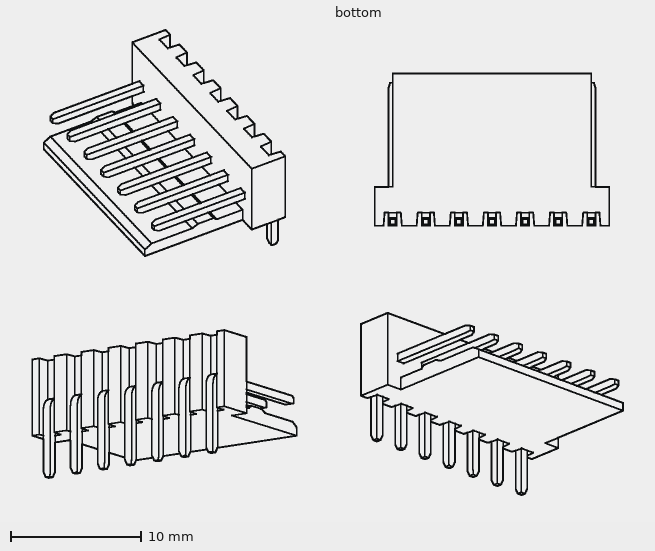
import cadquery as cq


PIN_COUNT = 7
PITCH = 2.55
ROW_LENGTH = (PIN_COUNT - 1) * PITCH

WALL_LENGTH = 18.03
WALL_DEPTH = 3.0
WALL_HEIGHT = 6.0

SLOT_DEPTH = 1.01
SLOT_FLOOR_WIDTH = 1.23
SLOT_MOUTH_WIDTH = 1.39

PLATE_LENGTH = ROW_LENGTH
PLATE_REACH = 8.7
PLATE_THICKNESS = 1.01
PLATE_BEVEL_RUN = 0.6
PLATE_BEVEL_DROP = 0.36

RIDGE_TOP_Z = 1.25
RIDGE_BACK_FOOT = 2.3
RIDGE_BACK_CREST = 2.6
RIDGE_FRONT_CREST = 3.98
RIDGE_FRONT_FOOT = 4.49

PIN_WIDTH = 0.65
PIN_THICKNESS = 0.63
PIN_AXIS_Z = 2.6
CONTACT_REACH = 8.0
TAIL_LENGTH = 3.39
TIP_LENGTH = 0.4
TIP_WIDTH = 0.4
BEND_OUTER_RADIUS = 1.01
BEND_RADIUS = BEND_OUTER_RADIUS - PIN_THICKNESS / 2
TAIL_AXIS_Y = WALL_DEPTH - PIN_THICKNESS / 2


def pin_positions():
    """X places of the pins, spaced evenly about the middle."""
    return [i * PITCH - ROW_LENGTH / 2 for i in range(PIN_COUNT)]


def make_wall():
    return cq.Workplane("XY").box(
        WALL_LENGTH, WALL_DEPTH, WALL_HEIGHT, centered=(True, False, False)
    )


def make_plate():
    """Side profile of the plate and its ridge, extruded along the pin row."""
    profile = [
        (0, 0),
        (0, PLATE_THICKNESS),
        (-RIDGE_BACK_FOOT, PLATE_THICKNESS),
        (-RIDGE_BACK_CREST, RIDGE_TOP_Z),
        (-RIDGE_FRONT_CREST, RIDGE_TOP_Z),
        (-RIDGE_FRONT_FOOT, PLATE_THICKNESS),
        (-PLATE_REACH + PLATE_BEVEL_RUN, PLATE_THICKNESS),
        (-PLATE_REACH, PLATE_THICKNESS - PLATE_BEVEL_DROP),
        (-PLATE_REACH, 0),
    ]
    return cq.Workplane("YZ").polyline(profile).close().extrude(PLATE_LENGTH / 2, both=True)


def make_slot(x):
    """Tapered slot through the full height of the wall."""
    floor_y = WALL_DEPTH - SLOT_DEPTH
    outline = [
        (x - SLOT_FLOOR_WIDTH / 2, floor_y),
        (x + SLOT_FLOOR_WIDTH / 2, floor_y),
        (x + SLOT_MOUTH_WIDTH / 2, WALL_DEPTH),
        (x - SLOT_MOUTH_WIDTH / 2, WALL_DEPTH),
    ]
    return cq.Workplane("XY").polyline(outline).close().extrude(WALL_HEIGHT)


def make_tip(plane):
    """Pyramid-shaped pin end that narrows along the normal of the plane."""
    return (
        cq.Workplane(plane)
        .rect(PIN_WIDTH, PIN_THICKNESS)
        .workplane(offset=TIP_LENGTH)
        .rect(TIP_WIDTH, TIP_WIDTH)
        .loft(ruled=True)
    )


def make_pin(x):
    """Contact toward -Y, a right-angle bend behind the wall, and a tail toward -Z."""
    contact_shoulder_y = TIP_LENGTH - CONTACT_REACH
    tail_shoulder_z = TIP_LENGTH - TAIL_LENGTH
    path = (
        cq.Workplane("YZ", origin=(x, 0, 0))
        .moveTo(contact_shoulder_y, PIN_AXIS_Z)
        .lineTo(TAIL_AXIS_Y - BEND_RADIUS, PIN_AXIS_Z)
        .tangentArcPoint((BEND_RADIUS, -BEND_RADIUS))
        .lineTo(TAIL_AXIS_Y, tail_shoulder_z)
    )
    shank = (
        cq.Workplane("XZ", origin=(x, contact_shoulder_y, PIN_AXIS_Z))
        .rect(PIN_WIDTH, PIN_THICKNESS)
        .sweep(path)
    )
    contact_end = cq.Plane((x, contact_shoulder_y, PIN_AXIS_Z), xDir=(1, 0, 0), normal=(0, -1, 0))
    tail_end = cq.Plane((x, TAIL_AXIS_Y, tail_shoulder_z), xDir=(1, 0, 0), normal=(0, 0, -1))
    return shank.union(make_tip(contact_end)).union(make_tip(tail_end))


def make_pin_hole(x):
    """Passage from the front of the wall to the slot floor."""
    return cq.Workplane("XY").box(
        PIN_WIDTH, WALL_DEPTH - SLOT_DEPTH, PIN_THICKNESS, centered=(True, False, True)
    ).translate((x, 0, PIN_AXIS_Z))


def make_housing():
    housing = make_wall().union(make_plate())
    for x in pin_positions():
        housing = housing.cut(make_slot(x)).cut(make_pin_hole(x))
    return housing


housing = make_housing()
pins = [make_pin(x) for x in pin_positions()]

result = cq.Compound.makeCompound([housing.val(), *[pin.val() for pin in pins]])